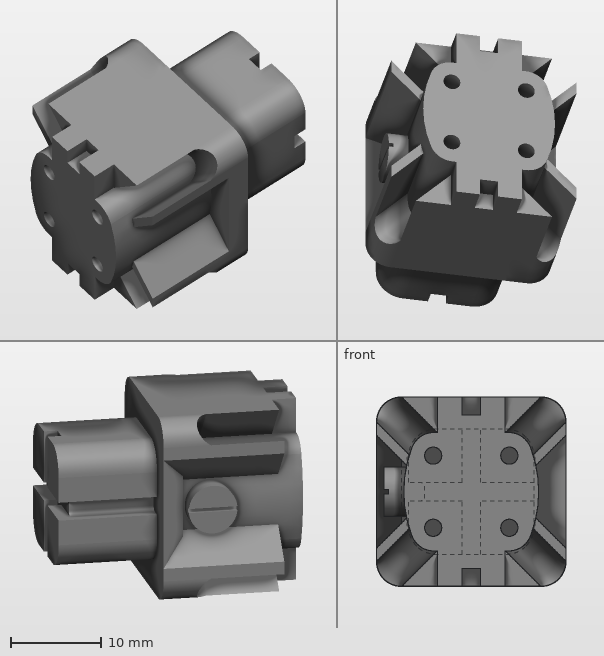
import cadquery as cq
import math

tongue_back = 2.75
body_back = 16.42
plug_back = 27.55

body_size = 21.0
body_half = body_size / 2
body_corner_radius = 2.78

tongue_width = 7.45
notch_width = 2.07
notch_depth = 1.98

core_half_width = 7.47
core_half_height = 6.55
core_side_radius = 13.78
core_corner_radius = 2.55

channel_width = body_corner_radius * math.sqrt(2)
channel_arc_start = 11.02
channel_arc_rise = 1.43

pocket_wall_offset = 4.25
pocket_slope_run = 2.75
pocket_floor = body_back - pocket_slope_run

screw_diameter = 5.5
screw_face_x = -9.67
screw_y = 10.63
screw_slot_width = 0.47
screw_slot_depth = 0.52

hole_diameter = 1.9
hole_spacing_x = 8.43
hole_spacing_z = 8.0
hole_depth = 5.5

plug_size = 13.89
plug_corner_radius = 3.05
slot_width = 2.07
slot_depth = 1.55
groove_depth = 1.8
groove_fillet = 0.52


def section(y):
    """Workplane at station y, local axes X and Z."""
    return cq.Workplane("XZ", origin=(0, y, 0))


def prism(sketch, length):
    """Extrude an XZ sketch toward +Y."""
    return sketch.extrude(-length)


def rounded_square(size, radius, front, back):
    return prism(section(front).rect(size, size), back - front).edges("|Y").fillet(radius)


def oval_core():
    side_center_x = core_half_width - core_side_radius
    corner_z = core_half_height - core_corner_radius
    center_distance = core_side_radius - core_corner_radius
    corner_x = side_center_x + math.sqrt(center_distance**2 - corner_z**2)
    join_angle = math.asin(corner_z / center_distance)
    join_x = side_center_x + core_side_radius * math.cos(join_angle)
    join_z = core_side_radius * math.sin(join_angle)
    mid_angle = (join_angle + math.pi / 2) / 2
    mid_x = corner_x + core_corner_radius * math.cos(mid_angle)
    mid_z = corner_z + core_corner_radius * math.sin(mid_angle)
    outline = (
        section(0)
        .moveTo(-corner_x, core_half_height)
        .lineTo(corner_x, core_half_height)
        .threePointArc((mid_x, mid_z), (join_x, join_z))
        .threePointArc((core_half_width, 0), (join_x, -join_z))
        .threePointArc((mid_x, -mid_z), (corner_x, -core_half_height))
        .lineTo(-corner_x, -core_half_height)
        .threePointArc((-mid_x, -mid_z), (-join_x, -join_z))
        .threePointArc((-core_half_width, 0), (-join_x, join_z))
        .threePointArc((-mid_x, mid_z), (-corner_x, core_half_height))
        .close()
    )
    return prism(outline, body_back)


def corner_channel(angle):
    """Round-ended channel running radially outward at the given angle about Y."""
    half = channel_width / 2
    return (
        cq.Workplane("YZ")
        .moveTo(0, -half)
        .lineTo(channel_arc_start, -half)
        .threePointArc((channel_arc_start + channel_arc_rise, 0), (channel_arc_start, half))
        .lineTo(0, half)
        .close()
        .extrude(body_size)
        .rotate((0, 0, 0), (0, 1, 0), angle)
    )


def side_wedge(side):
    """Triangular prism between the rib walls on the +X (1) or -X (-1) side."""
    outer_half = body_half - pocket_wall_offset
    outline = section(0).polyline([
        (side * pocket_wall_offset, 0),
        (side * body_half, outer_half),
        (side * body_half, -outer_half),
    ]).close()
    return prism(outline, body_back)


def plain_pocket():
    limit = prism(section(0).rect(2 * body_size, body_size), pocket_floor)
    return side_wedge(1).intersect(limit)


def sloped_pocket():
    """Pocket whose floor slopes back to meet the rear face at the outer side."""
    limit = (
        cq.Workplane("XY")
        .polyline([
            (0, 0),
            (0, pocket_floor),
            (-body_half + pocket_slope_run, pocket_floor),
            (-body_half, body_back),
            (-body_half, 0),
        ])
        .close()
        .extrude(body_half, both=True)
    )
    return side_wedge(-1).intersect(limit)


def tongue():
    bar = prism(section(0).rect(tongue_width, body_size), tongue_back)
    for side in (1, -1):
        notch_z = side * (body_half - notch_depth / 2)
        bar = bar.cut(prism(section(0).center(0, notch_z).rect(notch_width, notch_depth), tongue_back))
    return bar


def screw():
    head = (
        cq.Workplane("YZ", origin=(screw_face_x, 0, 0))
        .center(screw_y, 0)
        .circle(screw_diameter / 2)
        .extrude(-screw_face_x)
    )
    slot = cq.Workplane("XY").box(2 * screw_slot_depth, screw_diameter, screw_slot_width)
    return head.cut(slot.translate((screw_face_x, screw_y, 0)))


def plug():
    shape = rounded_square(plug_size, plug_corner_radius, body_back, plug_back)
    slot_floor = plug_back - slot_depth
    for size in ((plug_size, slot_width), (slot_width, plug_size)):
        shape = shape.cut(prism(section(slot_floor).rect(*size), slot_depth))
    groove = (
        prism(section(body_back).rect(2 * groove_depth, slot_width), slot_floor - body_back)
        .edges("|Y and >X")
        .fillet(groove_fillet)
        .translate((-plug_size / 2, 0, 0))
    )
    return shape.cut(groove)


housing = rounded_square(body_size, body_corner_radius, tongue_back, body_back)
for angle in (45, 135, 225, 315):
    housing = housing.cut(corner_channel(angle))
housing = housing.cut(plain_pocket()).cut(sloped_pocket())

contact_holes = prism(
    section(0).rarray(hole_spacing_x, hole_spacing_z, 2, 2).circle(hole_diameter / 2),
    hole_depth,
)

result = (
    housing.union(oval_core())
    .union(tongue())
    .union(screw())
    .union(plug())
    .cut(contact_holes)
)